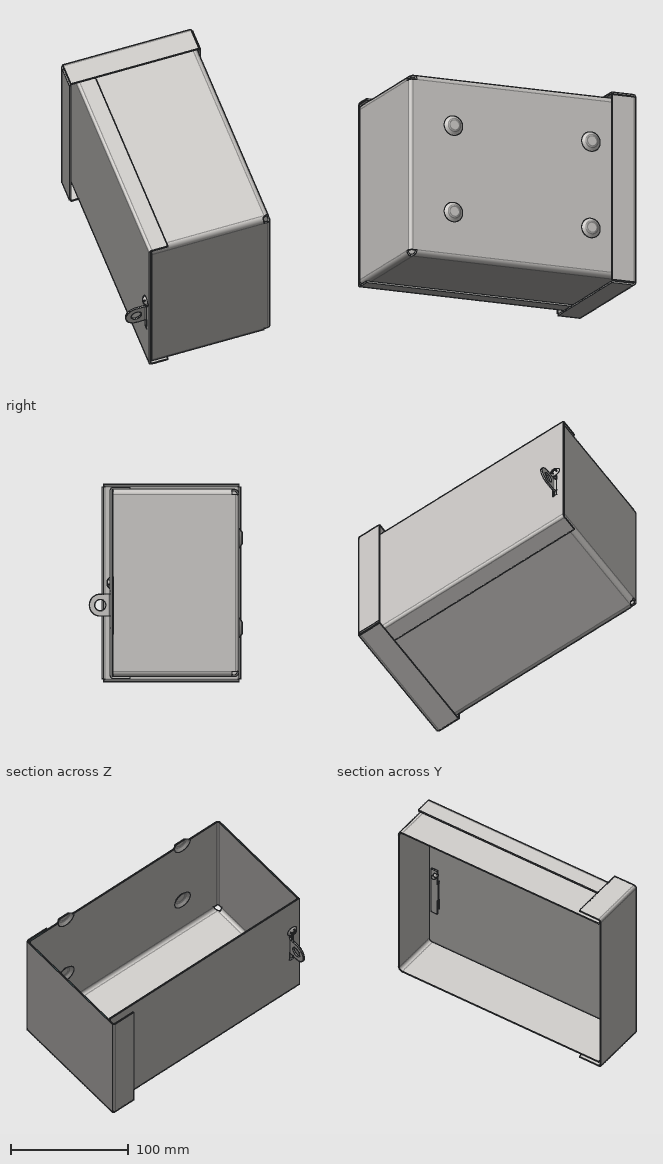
import cadquery as cq
import math

SHEET = 1.5
BEND_RADIUS = 2.5

CAP_LENGTH = 22.5
CAP_DEPTH = 118.2
CAP_HEIGHT = 168.3

BODY_START_X = BEND_RADIUS
BODY_END_X = 209.5
DOOR_FRONT_Y = 7.1
DOOR_FLANGE_DEPTH = 17.0
DOOR_HEIGHT = CAP_HEIGHT - 4 * SHEET

BOX_FRONT_Y = DOOR_FRONT_Y + BEND_RADIUS
BOX_BACK_Y = CAP_DEPTH - SHEET
BOX_HEIGHT = DOOR_HEIGHT - 2 * SHEET
BOX_BEND_RADIUS = 4.6
UPRIGHT_BEND_RADIUS = 3.1
RELIEF_BACK_X = 202.9
RELIEF_FRONT_X = 206.5
RELIEF_FRONT_Y = 110.6

FOOT_BASE_DIAMETER = 17.2
FOOT_TOP_DIAMETER = 10.3
FOOT_RIM_RADIUS = 2.0
FOOT_HEIGHT = 2.7
FOOT_X_POSITIONS = (41.7, 169.1)
FOOT_Z_OFFSET = 38.1

SCREW_X = 201.4
SCREW_SHANK_DIAMETER = 4.0
SCREW_HEAD_DIAMETER = 9.8
SCREW_HEAD_HEIGHT = 3.0
SCREW_SHANK_END_Y = 13.6
CROSS_LENGTH = 5.9
CROSS_WIDTH = 1.0
CROSS_DEPTH = 1.9
CROSS_ANGLE = 27.0

SLOT_LEFT_X = 198.9
SLOT_WIDTH = 4.2
SLOT_TOP_Z = -6.7
SLOT_LENGTH = 31.6

TONGUE_LEFT_X = 199.0
TONGUE_DIAMETER = 18.9
TONGUE_HOLE_DIAMETER = 9.5
TONGUE_CENTER_Y = -1.3
TONGUE_CENTER_Z = -18.9
HASP_INNER_RADIUS = 2.5
HASP_PLATE_LEFT_X = 200.0
HASP_PLATE_RIGHT_X = 206.2
HASP_PLATE_MARGIN = 5.2


def channel(plane, origin, span, depth, length):
    """U-channel with its web on the local Y axis and its flanges along local +X, centred on the origin."""
    half_span = span / 2
    inner_radius = BEND_RADIUS - SHEET
    outer_diagonal = BEND_RADIUS * (1 - math.sqrt(0.5))
    inner_diagonal = SHEET + inner_radius * (1 - math.sqrt(0.5))
    return (
        cq.Workplane(plane, origin=origin)
        .moveTo(depth, half_span)
        .lineTo(BEND_RADIUS, half_span)
        .threePointArc((outer_diagonal, half_span - outer_diagonal), (0, half_span - BEND_RADIUS))
        .lineTo(0, BEND_RADIUS - half_span)
        .threePointArc((outer_diagonal, outer_diagonal - half_span), (BEND_RADIUS, -half_span))
        .lineTo(depth, -half_span)
        .lineTo(depth, SHEET - half_span)
        .lineTo(BEND_RADIUS, SHEET - half_span)
        .threePointArc((inner_diagonal, inner_diagonal - half_span), (SHEET, BEND_RADIUS - half_span))
        .lineTo(SHEET, half_span - BEND_RADIUS)
        .threePointArc((inner_diagonal, half_span - inner_diagonal), (BEND_RADIUS, half_span - SHEET))
        .lineTo(depth, half_span - SHEET)
        .close()
        .extrude(length / 2, both=True)
    )


def make_cap():
    """End plate with four bent flanges, left open at the corners."""
    middle = (0, CAP_DEPTH / 2, 0)
    top_and_bottom = channel("XZ", middle, CAP_HEIGHT, CAP_LENGTH, CAP_DEPTH - 2 * SHEET)
    front_and_back = channel("XY", middle, CAP_DEPTH, CAP_LENGTH, CAP_HEIGHT - 2 * BEND_RADIUS)
    return top_and_bottom.union(front_and_back)


def along_y(x, y, z):
    """Sketch plane facing +Y at the given point."""
    return cq.Workplane(cq.Plane(origin=(x, y, z), xDir=(1, 0, 0), normal=(0, 1, 0)))


def make_door():
    """Front channel with the screw hole and the hasp slot."""
    length = BODY_END_X - BODY_START_X
    origin = (BODY_START_X + length / 2, DOOR_FRONT_Y, 0)
    door = channel("YZ", origin, DOOR_HEIGHT, DOOR_FLANGE_DEPTH, length)
    screw_hole = along_y(SCREW_X, DOOR_FRONT_Y, 0).circle(SCREW_SHANK_DIAMETER / 2).extrude(SHEET)
    slot = cq.Workplane("XY").box(SLOT_WIDTH, SHEET, SLOT_LENGTH, centered=False)
    slot = slot.translate((SLOT_LEFT_X, DOOR_FRONT_Y, SLOT_TOP_Z - SLOT_LENGTH))
    return door.cut(screw_hole).cut(slot)


def rounded_block(start_x, front_y, inset):
    """Block with rounded edges, its back, right, top and bottom moved in by the inset."""
    end_x = BODY_END_X - inset
    back_y = BOX_BACK_Y - inset
    height = BOX_HEIGHT - 2 * inset
    size = (end_x - start_x, back_y - front_y, height)
    place = (start_x, front_y, -height / 2)
    block = cq.Workplane("XY").box(*size, centered=False).translate(place)
    long_bends = block.edges("|X and >Y").fillet(BOX_BEND_RADIUS - inset)
    side_bends = block.edges("|Y and >X").fillet(BOX_BEND_RADIUS - inset)
    upright_bend = block.edges("|Z and >X and >Y").fillet(UPRIGHT_BEND_RADIUS - inset)
    return long_bends.intersect(side_bends).intersect(upright_bend)


def corner_reliefs():
    """Cutters that open the top and bottom corners where the three bends would meet."""
    relief = (
        cq.Workplane("XY", origin=(0, 0, BOX_HEIGHT / 2 - BOX_BEND_RADIUS))
        .polyline([
            (RELIEF_BACK_X, BOX_BACK_Y),
            (RELIEF_FRONT_X, RELIEF_FRONT_Y),
            (BODY_END_X, RELIEF_FRONT_Y),
            (BODY_END_X, BOX_BACK_Y),
        ])
        .close()
        .extrude(BOX_BEND_RADIUS)
    )
    return relief.union(relief.mirror("XY"))


def foot_cone(x, y, z):
    """Flat-topped cone with a rounded rim, pointing backward from its base."""
    cone = (
        along_y(x, y, z)
        .circle(FOOT_BASE_DIAMETER / 2)
        .workplane(offset=FOOT_HEIGHT)
        .circle(FOOT_TOP_DIAMETER / 2)
        .loft()
    )
    return cone.faces(">Y").edges().fillet(FOOT_RIM_RADIUS)


def make_box():
    """Bent box with open corners and four feet embossed in its back."""
    box = rounded_block(BODY_START_X, BOX_FRONT_Y, 0)
    box = box.cut(rounded_block(0, 0, SHEET)).cut(corner_reliefs())
    for x in FOOT_X_POSITIONS:
        for z in (-FOOT_Z_OFFSET, FOOT_Z_OFFSET):
            box = box.union(foot_cone(x, BOX_BACK_Y, z)).cut(foot_cone(x, BOX_BACK_Y - SHEET, z))
    return box


def dome(base_radius, height):
    """Spherical cap on the origin rising along +Y."""
    radius = (base_radius**2 + height**2) / (2 * height)
    half_angle = math.asin(base_radius / radius) / 2
    arc_middle = (radius * math.sin(half_angle), height - radius * (1 - math.cos(half_angle)))
    return (
        cq.Workplane("XY")
        .lineTo(base_radius, 0)
        .threePointArc(arc_middle, (0, height))
        .close()
        .revolve(360, (0, 0), (0, 1))
    )


def make_screw():
    """Domed screw with a cross recess."""
    head = dome(SCREW_HEAD_DIAMETER / 2, SCREW_HEAD_HEIGHT).rotate((0, 0, 0), (1, 0, 0), 180)
    shank_length = SCREW_SHANK_END_Y - DOOR_FRONT_Y
    shank = along_y(SCREW_X, DOOR_FRONT_Y, 0).circle(SCREW_SHANK_DIAMETER / 2).extrude(shank_length)
    screw = head.translate((SCREW_X, DOOR_FRONT_Y, 0)).union(shank)
    for angle in (CROSS_ANGLE, CROSS_ANGLE + 90):
        arm = cq.Workplane("XY").box(CROSS_LENGTH, 2 * CROSS_DEPTH, CROSS_WIDTH)
        arm = arm.rotate((0, 0, 0), (0, 1, 0), angle)
        screw = screw.cut(arm.translate((SCREW_X, DOOR_FRONT_Y - SCREW_HEAD_HEIGHT, 0)))
    return screw


def make_hasp():
    """Base plate behind the door with a pierced round-ended tongue bent forward through the slot."""
    plate_front_y = DOOR_FRONT_Y + SHEET
    plate_back_y = plate_front_y + SHEET
    plate_bottom_z = SLOT_TOP_Z - SLOT_LENGTH - HASP_PLATE_MARGIN
    plate_size = (HASP_PLATE_RIGHT_X - HASP_PLATE_LEFT_X, SHEET, HASP_PLATE_MARGIN - plate_bottom_z)
    plate = cq.Workplane("XY").box(*plate_size, centered=False)
    plate = plate.translate((HASP_PLATE_LEFT_X, plate_front_y, plate_bottom_z))
    screw_hole = along_y(SCREW_X, plate_front_y, 0).circle(SCREW_SHANK_DIAMETER / 2).extrude(SHEET)

    tongue_radius = TONGUE_DIAMETER / 2
    tongue = (
        cq.Workplane("YZ", origin=(TONGUE_LEFT_X, TONGUE_CENTER_Y, TONGUE_CENTER_Z))
        .moveTo(0, tongue_radius)
        .threePointArc((-tongue_radius, 0), (0, -tongue_radius))
        .lineTo(plate_back_y - TONGUE_CENTER_Y, -tongue_radius)
        .lineTo(plate_back_y - TONGUE_CENTER_Y, tongue_radius)
        .close()
        .extrude(SHEET)
    )
    inside_x = TONGUE_LEFT_X + SHEET
    diagonal = HASP_INNER_RADIUS * (1 - math.sqrt(0.5))
    inside_bend = (
        cq.Workplane("XY", origin=(inside_x, plate_front_y, TONGUE_CENTER_Z))
        .lineTo(0, -HASP_INNER_RADIUS)
        .threePointArc((diagonal, -diagonal), (HASP_INNER_RADIUS, 0))
        .close()
        .extrude(tongue_radius, both=True)
    )
    padlock_hole = (
        cq.Workplane("YZ", origin=(TONGUE_LEFT_X, TONGUE_CENTER_Y, TONGUE_CENTER_Z))
        .circle(TONGUE_HOLE_DIAMETER / 2)
        .extrude(SHEET)
    )
    return plate.cut(screw_hole).union(tongue).union(inside_bend).cut(padlock_hole)


cap = make_cap()
door = make_door()
box = make_box()
screw = make_screw()
hasp = make_hasp()

result = cq.Compound.makeCompound([cap.val(), door.val(), box.val(), screw.val(), hasp.val()])